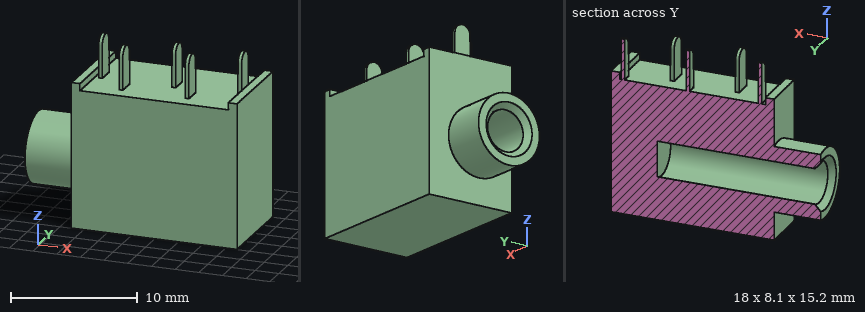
import cadquery as cq

overall_length = 18.0
barrel_length = 4.0
housing_length = overall_length - barrel_length
housing_width = 8.1
floor_height = 11.66
lip_height = 0.6
lip_thickness = 0.74

barrel_diameter = 6.0
barrel_y = 3.2
barrel_z = 5.3
bore_diameter = 3.5
bore_depth = 14.0
mouth_diameter = 4.5
mouth_depth = 0.5

overall_height = 15.2
pin_thickness = 0.32
pin_width = 1.5
rear_row_y = 4.05
front_row_y = 2.05
rear_row_x = (5.22, 11.41, 17.0)
front_row_x = (7.7, 13.28)


def housing():
    body = cq.Workplane("XY").box(housing_length, housing_width, floor_height, centered=False)
    lip = cq.Workplane("XY").box(lip_thickness, housing_width, lip_height, centered=False)
    body = body.translate((barrel_length, 0, 0))
    for lip_x in (barrel_length, overall_length - lip_thickness):
        body = body.union(lip.translate((lip_x, 0, floor_height)))
    return body


def barrel():
    axis_start = cq.Workplane("YZ", origin=(0, barrel_y, barrel_z))
    return axis_start.circle(barrel_diameter / 2).extrude(barrel_length)


def bore():
    """Blind round hole with a conical mouth, to be cut from the barrel and housing."""
    profile = (
        cq.Workplane("XY")
        .polyline([
            (0, 0),
            (0, mouth_diameter / 2),
            (mouth_depth, bore_diameter / 2),
            (bore_depth, bore_diameter / 2),
            (bore_depth, 0),
        ])
        .close()
    )
    return profile.revolve(360, (0, 0), (1, 0)).translate((0, barrel_y, barrel_z))


def pin(center_x, center_y):
    half_width = pin_width / 2
    straight_height = overall_height - floor_height - half_width
    start = (center_x - pin_thickness / 2, center_y, floor_height)
    return (
        cq.Workplane("YZ", origin=start)
        .moveTo(-half_width, 0)
        .lineTo(half_width, 0)
        .lineTo(half_width, straight_height)
        .threePointArc((0, straight_height + half_width), (-half_width, straight_height))
        .close()
        .extrude(pin_thickness)
    )


result = housing().union(barrel()).cut(bore())
for row_y, row_x in ((rear_row_y, rear_row_x), (front_row_y, front_row_x)):
    for pin_x in row_x:
        result = result.union(pin(pin_x, row_y))